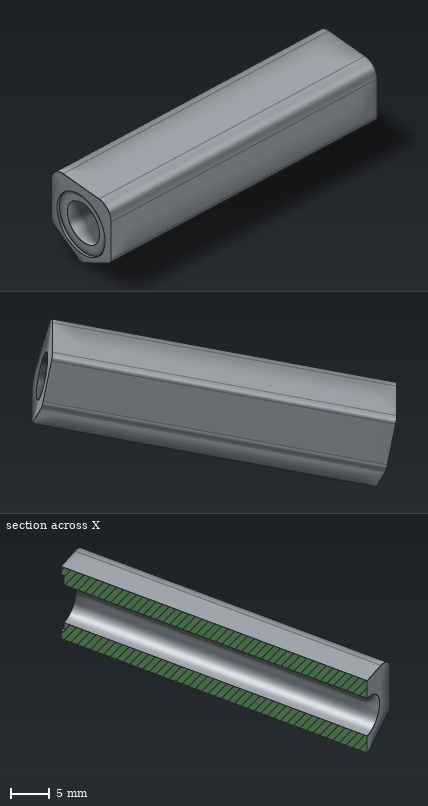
import cadquery as cq
import math

length = 46.25
width = 11.95
height = 12.5
top_above_axis = 6.3
slope_angle = math.radians(30)
top_corner_radius = 2.4
lower_corner_radius = 1.2
bore_diameter = 6.4
recess_diameter = 9.52
recess_depth = 0.4

half_width = width / 2
keel_rounding_loss = lower_corner_radius * (1 / math.cos(slope_angle) - 1)
sharp_tip_z = top_above_axis - height - keel_rounding_loss
shoulder_z = sharp_tip_z + half_width * math.tan(slope_angle)


def make_body():
    """Five-sided bar with a flat top, a V-shaped underside and rounded long edges."""
    bar = (
        cq.Workplane("XZ")
        .moveTo(-half_width, top_above_axis)
        .lineTo(half_width, top_above_axis)
        .lineTo(half_width, shoulder_z)
        .lineTo(0, sharp_tip_z)
        .lineTo(-half_width, shoulder_z)
        .close()
        .extrude(length / 2, both=True)
    )
    long_edges = bar.edges("|Y")
    top_edges = long_edges.filter(lambda edge: edge.Center().z > 0)
    bar = bar.newObject(top_edges.vals()).fillet(top_corner_radius)
    lower_edges = bar.edges("|Y").filter(lambda edge: edge.Center().z < shoulder_z / 2)
    return bar.newObject(lower_edges.vals()).fillet(lower_corner_radius)


def cylinder_along_y(diameter, start_y, depth):
    """Cylinder on the bore axis running from start_y towards +Y."""
    return cq.Workplane("XZ", origin=(0, start_y, 0)).circle(diameter / 2).extrude(-depth)


bore = cylinder_along_y(bore_diameter, -length / 2, length)
front_recess = cylinder_along_y(recess_diameter, -length / 2, recess_depth)
result = make_body().cut(bore).cut(front_recess)